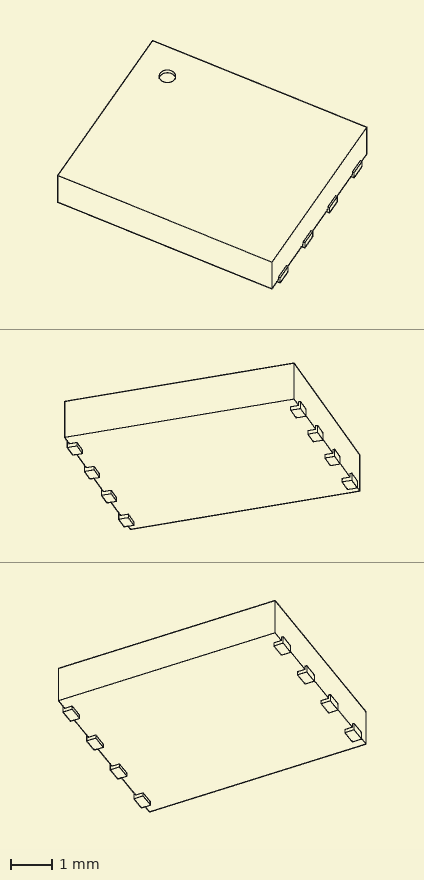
import cadquery as cq

overall_length = 6.0
body_width = 4.9
overall_height = 1.1

lead_overhang = 0.05
lead_length = 0.25
lead_width = 0.41
lead_thickness = 0.2
lead_drop = 0.095
lead_pitch = 1.27
leads_per_side = 4

mark_diameter = 0.4
mark_depth = 0.1
mark_x = -2.095
mark_y = 1.61

body_length = overall_length - 2 * lead_overhang
body_height = overall_height - lead_drop


def make_body():
    """Plain rectangular package standing lead_drop above the seating plane."""
    return (
        cq.Workplane("XY")
        .workplane(offset=lead_drop)
        .rect(body_length, body_width)
        .extrude(body_height)
    )


def make_leads():
    """Two rows of flat leads, set partly into the body's bottom edges."""
    row_spacing = overall_length - lead_length
    return (
        cq.Workplane("XY")
        .rarray(row_spacing, lead_pitch, 2, leads_per_side)
        .rect(lead_length, lead_width)
        .extrude(lead_thickness)
    )


def make_mark():
    """Shallow round recess that marks pin one."""
    return (
        cq.Workplane("XY")
        .workplane(offset=overall_height - mark_depth)
        .center(mark_x, mark_y)
        .circle(mark_diameter / 2)
        .extrude(mark_depth)
    )


result = make_body().union(make_leads()).cut(make_mark())